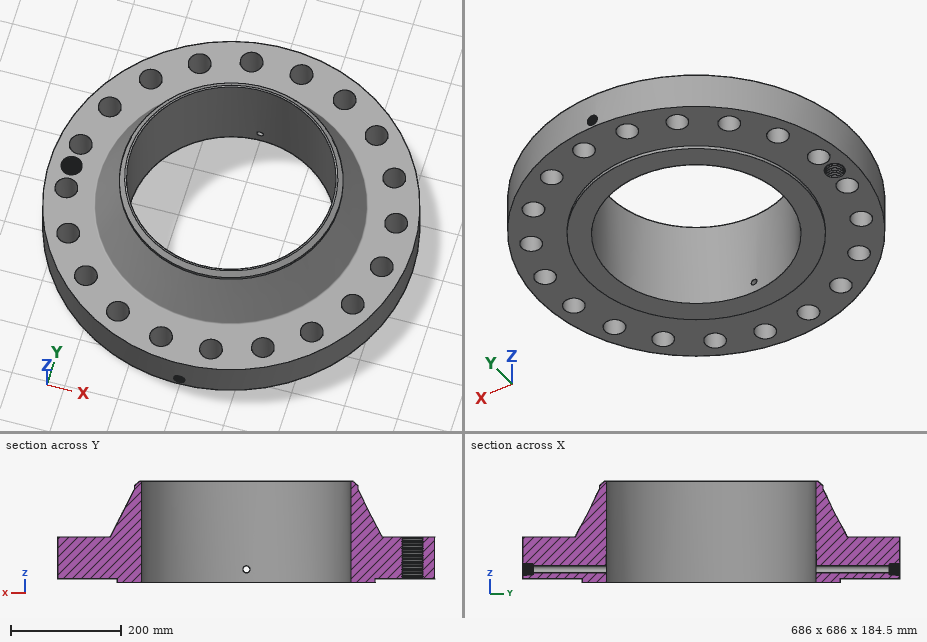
import cadquery as cq

flange_diameter = 686.0
flange_thickness = 76.0
raised_face_diameter = 470.0
raised_face_height = 7.0

total_height = 184.5
hub_base_diameter = 495.0
hub_base_fillet = 3.5
neck_diameter = 407.0
neck_height = 6.0
weld_bevel_height = 8.0
weld_land_diameter = 387.5
bore_diameter = 380.5

bolt_count = 20
bolt_circle_diameter = 603.5
bolt_hole_diameter = 41.0

jack_screw_major_diameter = 38.5
jack_screw_minor_diameter = 35.0
jack_screw_turns = 18

tap_height = 24.0
tap_major_diameter = 21.0
tap_thread_height = 1.5
tap_taper = 1 / 16
tap_thread_length = 20.0
tap_turns = 11
tap_bore_diameter = 12.5

flange_top = raised_face_height + flange_thickness
bevel_bottom = total_height - weld_bevel_height
hub_top = bevel_bottom - neck_height


def make_body():
    """Solid of revolution about Z, with the raised face resting on Z = 0."""
    outline = [
        (0, 0),
        (raised_face_diameter / 2, 0),
        (raised_face_diameter / 2, raised_face_height),
        (flange_diameter / 2, raised_face_height),
        (flange_diameter / 2, flange_top),
        (hub_base_diameter / 2, flange_top),
        (neck_diameter / 2, hub_top),
        (neck_diameter / 2, bevel_bottom),
        (weld_land_diameter / 2, total_height),
        (0, total_height),
    ]
    body = cq.Workplane("XZ").polyline(outline).close().revolve(360, (0, 0, 0), (0, 1, 0))

    reach = (hub_base_diameter + flange_diameter) / 4
    margin = hub_base_fillet
    foot_box = cq.selectors.BoxSelector(
        (-reach, -reach, flange_top - margin),
        (reach, reach, flange_top + margin),
        boundingbox=True,
    )
    return body.edges(foot_box).fillet(hub_base_fillet)


def make_main_bore():
    return cq.Workplane("XY").circle(bore_diameter / 2).extrude(total_height)


def make_bolt_holes():
    """Through holes spaced so that the X and Y axes pass midway between two of them."""
    half_spacing = 180 / bolt_count
    return (
        cq.Workplane("XY")
        .polarArray(bolt_circle_diameter / 2, half_spacing, 360, bolt_count)
        .circle(bolt_hole_diameter / 2)
        .extrude(flange_top)
    )


def make_thread_cutter(major_diameter, thread_height, length, turns, taper=0.0):
    """Hole with V-shaped thread rings, running down from Z = 0; taper is diameter lost per length."""
    pitch = length / turns
    outline = [(0, 0)]
    for turn in range(turns):
        root_depth = turn * pitch
        crest_depth = root_depth + pitch / 2
        root_radius = (major_diameter - taper * root_depth) / 2
        crest_radius = (major_diameter - taper * crest_depth) / 2 - thread_height
        outline.append((root_radius, -root_depth))
        outline.append((crest_radius, -crest_depth))
    outline.append(((major_diameter - taper * length) / 2, -length))
    outline.append((0, -length))
    return cq.Workplane("XZ").polyline(outline).close().revolve(360, (0, 0, 0), (0, 1, 0))


def make_jack_screw_hole():
    thread_height = (jack_screw_major_diameter - jack_screw_minor_diameter) / 2
    cutter = make_thread_cutter(
        jack_screw_major_diameter, thread_height, flange_thickness, jack_screw_turns
    )
    return cutter.translate((-bolt_circle_diameter / 2, 0, flange_top))


def make_pressure_taps():
    """One straight bore across the flange, with a threaded mouth on the -Y and +Y sides."""
    taps = (
        cq.Workplane("XZ", origin=(0, 0, tap_height))
        .circle(tap_bore_diameter / 2)
        .extrude(flange_diameter / 2, both=True)
    )
    mouth = make_thread_cutter(
        tap_major_diameter, tap_thread_height, tap_thread_length, tap_turns, tap_taper
    )
    for side in (-1, 1):
        turned = mouth.rotate((0, 0, 0), (1, 0, 0), -90 * side)
        taps = taps.union(turned.translate((0, side * flange_diameter / 2, tap_height)))
    return taps


result = (
    make_body()
    .cut(make_main_bore())
    .cut(make_bolt_holes())
    .cut(make_jack_screw_hole())
    .cut(make_pressure_taps())
)